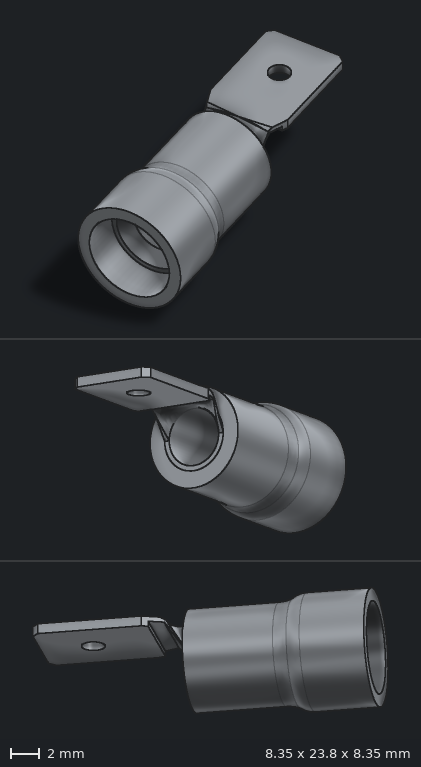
import cadquery as cq


SLEEVE_LENGTH = 13.0
MOUTH_RADIUS = 8.35 / 2
GRIP_RADIUS = 7.3 / 2
SHOULDER_START = 4.6
SHOULDER_HALF_LENGTH = 1.0
SHOULDER_MIDDLE_RADIUS = 3.85

WALL = 0.375
BARREL_RADIUS = 2.425
FLARE_RADIUS = 3.25
FLARE_START = 3.0
FLARE_LENGTH = 1.0

BLADE_TIP = 23.8
BLADE_WIDTH = 6.3
BLADE_THICKNESS = 2 * WALL
TIP_CHAMFER_ACROSS = 0.5
TIP_CHAMFER_ALONG = 0.45
HOLE_DIAMETER = 1.65
HOLE_FROM_TIP = 3.75
TAPER_FROM_TIP = 7.8
THICK_LENGTH = 8.25
NECK_FROM_TIP = 9.3
NECK_WIDTH = 5.14

BEND_REACH_ON_BLADE = 0.22
BEND_REACH_ON_NECK = 0.13
BEND_DROP = 0.19
BEND_OVERRUN = 1.2

BORE_RADIUS = BARREL_RADIUS - WALL
FLARE_END = FLARE_START + FLARE_LENGTH
SHOULDER_MIDDLE = SHOULDER_START + SHOULDER_HALF_LENGTH
SHOULDER_END = SHOULDER_MIDDLE + SHOULDER_HALF_LENGTH
BLADE_TOP = BARREL_RADIUS
NECK_END = BLADE_TIP - NECK_FROM_TIP


def arc_radius(length, rise):
    """Radius of an arc that leaves a tangent line and departs from it by `rise` over `length`."""
    return (length**2 + rise**2) / (2 * rise)


def revolve_about_y(profile):
    return profile.close().revolve(360, (0, 0, 0), (0, 1, 0))


def make_sleeve():
    """Stepped tube whose bore follows the outside of the terminal barrel."""
    convex_radius = arc_radius(SHOULDER_HALF_LENGTH, MOUTH_RADIUS - SHOULDER_MIDDLE_RADIUS)
    concave_radius = arc_radius(SHOULDER_HALF_LENGTH, SHOULDER_MIDDLE_RADIUS - GRIP_RADIUS)
    profile = (
        cq.Workplane("XY")
        .moveTo(FLARE_RADIUS, 0)
        .lineTo(MOUTH_RADIUS, 0)
        .lineTo(MOUTH_RADIUS, SHOULDER_START)
        .radiusArc((SHOULDER_MIDDLE_RADIUS, SHOULDER_MIDDLE), -convex_radius)
        .radiusArc((GRIP_RADIUS, SHOULDER_END), concave_radius)
        .lineTo(GRIP_RADIUS, SLEEVE_LENGTH)
        .lineTo(BARREL_RADIUS, SLEEVE_LENGTH)
        .lineTo(BARREL_RADIUS, FLARE_END)
        .lineTo(FLARE_RADIUS, FLARE_START)
    )
    return revolve_about_y(profile)


def make_barrel():
    """Round tube inside the sleeve, flared where the wire enters."""
    profile = (
        cq.Workplane("XY")
        .moveTo(FLARE_RADIUS - WALL, FLARE_START)
        .lineTo(FLARE_RADIUS, FLARE_START)
        .lineTo(BARREL_RADIUS, FLARE_END)
        .lineTo(BARREL_RADIUS, SLEEVE_LENGTH)
        .lineTo(BORE_RADIUS, SLEEVE_LENGTH)
        .lineTo(BORE_RADIUS, FLARE_END)
    )
    return revolve_about_y(profile)


def half_circle(radius):
    """Upper half circle about the wire axis, at the blade end of the sleeve."""
    points = [(-radius, SLEEVE_LENGTH, 0), (0, SLEEVE_LENGTH, radius), (radius, SLEEVE_LENGTH, 0)]
    return cq.Edge.makeThreePointArc(*[cq.Vector(*point) for point in points])


def root_line(height):
    """Straight line across the root of the blade at one height."""
    left = cq.Vector(-NECK_WIDTH / 2, NECK_END, height)
    right = cq.Vector(NECK_WIDTH / 2, NECK_END, height)
    return cq.Edge.makeLine(left, right)


def face_between(first_edge, second_edge):
    return cq.Face.makeRuledSurface(first_edge, second_edge)


def side_line(edge_a, edge_b, end):
    """Line joining the same end (0 or 1) of two edges."""
    return cq.Edge.makeLine(edge_a.positionAt(end), edge_b.positionAt(end))


def make_neck():
    """Upper half of the barrel wall flattening into the root of the blade."""
    outer_arc = half_circle(BARREL_RADIUS)
    inner_arc = half_circle(BORE_RADIUS)
    upper_line = root_line(BLADE_TOP)
    lower_line = root_line(BLADE_TOP - WALL)
    faces = [
        face_between(outer_arc, upper_line),
        face_between(inner_arc, lower_line),
        face_between(outer_arc, inner_arc),
        face_between(upper_line, lower_line),
    ]
    for end in (0, 1):
        barrel_edge = side_line(outer_arc, inner_arc, end)
        blade_edge = side_line(upper_line, lower_line, end)
        faces.append(face_between(barrel_edge, blade_edge))
    return cq.Workplane(cq.Solid.makeSolid(cq.Shell.makeShell(faces)))


def make_blade():
    """Flat tab with a chamfered tip, a tapered root of half thickness and a latch hole."""
    half_width = BLADE_WIDTH / 2
    right_side = [
        (NECK_WIDTH / 2, NECK_END),
        (half_width, BLADE_TIP - TAPER_FROM_TIP),
        (half_width, BLADE_TIP - TIP_CHAMFER_ALONG),
        (half_width - TIP_CHAMFER_ACROSS, BLADE_TIP),
    ]
    left_side = [(-x, y) for x, y in reversed(right_side)]
    blade = (
        cq.Workplane("XY", origin=(0, 0, BLADE_TOP))
        .polyline(right_side + left_side)
        .close()
        .extrude(-BLADE_THICKNESS)
    )
    root_relief = cq.Workplane("XY").box(
        BLADE_WIDTH, NECK_FROM_TIP - THICK_LENGTH, BLADE_THICKNESS - WALL, centered=(True, False, False)
    )
    root_relief = root_relief.translate((0, NECK_END, BLADE_TOP - BLADE_THICKNESS))
    latch_hole = (
        cq.Workplane("XY", origin=(0, BLADE_TIP - HOLE_FROM_TIP, BLADE_TOP))
        .circle(HOLE_DIAMETER / 2)
        .extrude(-BLADE_THICKNESS)
    )
    return blade.cut(root_relief).cut(latch_hole)


def make_bend_cutter(side):
    """Material removed above one bend facet; `side` is +1 or -1 along X."""
    reach_across = BEND_OVERRUN * side * NECK_WIDTH / 2
    middle = cq.Vector(0, NECK_END, BLADE_TOP)
    on_blade = middle + cq.Vector(reach_across, BEND_OVERRUN * BEND_REACH_ON_BLADE, 0)
    on_neck = middle + cq.Vector(
        reach_across, -BEND_OVERRUN * BEND_REACH_ON_NECK, -BEND_OVERRUN * BEND_DROP
    )
    facet = cq.Wire.makePolygon([middle, on_blade, on_neck], close=True)
    return cq.Workplane(cq.Solid.extrudeLinear(facet, [], cq.Vector(0, 0, BLADE_THICKNESS)))


def make_terminal():
    """Barrel, neck and blade in one piece, with the bend facets cut in."""
    terminal = make_barrel().union(make_neck()).union(make_blade())
    for side in (-1, 1):
        terminal = terminal.cut(make_bend_cutter(side))
    return terminal


sleeve = make_sleeve()
terminal = make_terminal()

result = cq.Compound.makeCompound([sleeve.val(), terminal.val()])